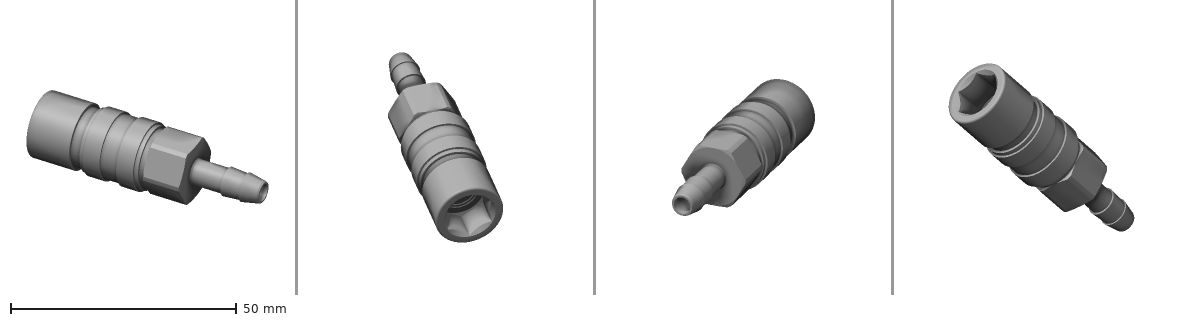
import cadquery as cq
import math

LENGTH = 55.5

SLEEVE_DIAMETER = 15.7
COLLAR_DIAMETER = 16.2
STEP_DIAMETER = 15.2
NECK_DIAMETER = 14.0
HEX_START = 29.1
BODY_STEPS = [
    (10.9, SLEEVE_DIAMETER),
    (13.4, NECK_DIAMETER),
    (14.45, STEP_DIAMETER),
    (18.6, COLLAR_DIAMETER),
    (22.8, STEP_DIAMETER),
    (27.0, COLLAR_DIAMETER),
    (27.95, STEP_DIAMETER),
    (HEX_START, NECK_DIAMETER),
]
MOUTH_ROUND = 0.55

HEX_END = 38.5
HEX_FLATS = 14.0
HEX_CORNER_DIAMETER = 15.55
HEX_FRONT_CHAMFER_LENGTH = 0.35
HEX_REAR_CHAMFER_LENGTH = 0.2
HEX_CHAMFER_DIAMETER = 14.0

STEM_DIAMETER = 6.0
STEM_BASE_DIAMETER = 6.3
STEM_BASE_END = 38.95
BARB_STARTS = [46.5, 51.05]
BARB_DIAMETER = 6.9
FIRST_BARB_END_DIAMETER = 6.2
TIP_CHAMFER_START = 55.1
TIP_SHOULDER_DIAMETER = 5.3
TIP_DIAMETER = 4.9

SOCKET_FLATS = 10.1
SOCKET_DEPTH = 6.95
MOUTH_DIAMETER = 12.0
MOUTH_CONE_ANGLE = 45.0
UNDERCUT_DIAMETER = 12.0
UNDERCUT_DEPTH = 1.65
RECESS_DIAMETER = 9.05
RECESS_DEPTH = 0.4
INNER_RECESS_DIAMETER = 8.2
INNER_RECESS_DEPTH = 0.8
BORE_DIAMETER = 4.0
BORE_ENTRY_DIAMETER = 5.55


def cylinder(start, end, diameter):
    return cq.Workplane("YZ", origin=(start, 0, 0)).circle(diameter / 2).extrude(end - start)


def revolved(profile):
    """Turn an (x, diameter) outline, closed along the axis, about X."""
    points = [(x, diameter / 2) for x, diameter in profile]
    outline = [(points[0][0], 0)] + points + [(points[-1][0], 0)]
    return cq.Workplane("XY").polyline(outline).close().revolve(360, (0, 0, 0), (1, 0, 0))


def hexagon(start, end, across_flats):
    """Hexagonal prism along X, with two corners on the Y axis."""
    across_corners = across_flats / math.cos(math.radians(30))
    return cq.Workplane("YZ", origin=(start, 0, 0)).polygon(6, across_corners).extrude(end - start)


def sleeve():
    first_end, first_diameter = BODY_STEPS[0]
    body = cylinder(0, first_end, first_diameter).faces("<X").edges().fillet(MOUTH_ROUND)
    start = first_end
    for end, diameter in BODY_STEPS[1:]:
        body = body.union(cylinder(start, end, diameter))
        start = end
    return body


def wrench_hexagon():
    envelope = revolved([
        (HEX_START, HEX_CHAMFER_DIAMETER),
        (HEX_START + HEX_FRONT_CHAMFER_LENGTH, HEX_CORNER_DIAMETER),
        (HEX_END - HEX_REAR_CHAMFER_LENGTH, HEX_CORNER_DIAMETER),
        (HEX_END, HEX_CHAMFER_DIAMETER),
    ])
    return hexagon(HEX_START, HEX_END, HEX_FLATS).intersect(envelope)


def hose_stem():
    first_barb, second_barb = BARB_STARTS
    return revolved([
        (HEX_END, STEM_BASE_DIAMETER),
        (STEM_BASE_END, STEM_DIAMETER),
        (first_barb, STEM_DIAMETER),
        (first_barb, BARB_DIAMETER),
        (second_barb, FIRST_BARB_END_DIAMETER),
        (second_barb, BARB_DIAMETER),
        (TIP_CHAMFER_START, TIP_SHOULDER_DIAMETER),
        (LENGTH, TIP_DIAMETER),
    ])


def socket():
    """Hexagonal socket with two corners on the Z axis and a coned mouth."""
    cone_depth = (MOUTH_DIAMETER - SOCKET_FLATS) / 2 / math.tan(math.radians(MOUTH_CONE_ANGLE))
    mouth_cone = revolved([(0, MOUTH_DIAMETER), (cone_depth, SOCKET_FLATS)])
    turned_hexagon = hexagon(0, SOCKET_DEPTH, SOCKET_FLATS).rotate((0, 0, 0), (1, 0, 0), 90)
    return turned_hexagon.union(mouth_cone)


def passage():
    undercut_end = SOCKET_DEPTH + UNDERCUT_DEPTH
    recess_end = undercut_end + RECESS_DEPTH
    inner_end = undercut_end + INNER_RECESS_DEPTH
    entry_end = inner_end + (BORE_ENTRY_DIAMETER - BORE_DIAMETER) / 2
    return revolved([
        (SOCKET_DEPTH, UNDERCUT_DIAMETER),
        (undercut_end, UNDERCUT_DIAMETER),
        (undercut_end, RECESS_DIAMETER),
        (recess_end, RECESS_DIAMETER),
        (recess_end, INNER_RECESS_DIAMETER),
        (inner_end, INNER_RECESS_DIAMETER),
        (inner_end, BORE_ENTRY_DIAMETER),
        (entry_end, BORE_DIAMETER),
        (LENGTH, BORE_DIAMETER),
    ])


outside = sleeve().union(wrench_hexagon()).union(hose_stem())
result = outside.cut(socket()).cut(passage())